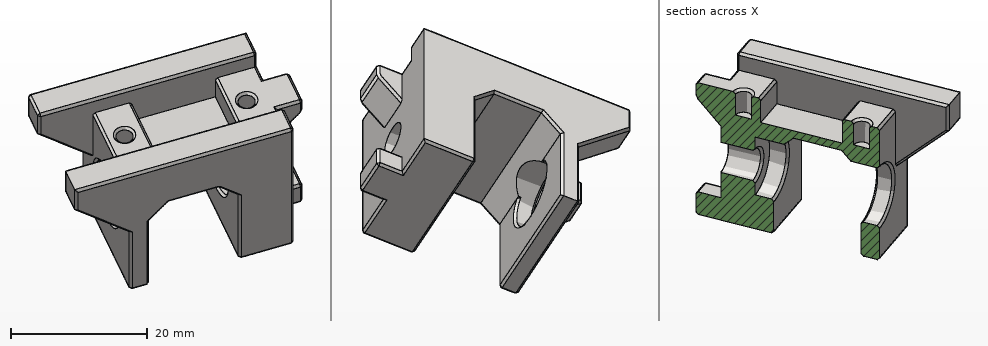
import cadquery as cq

WIDTH = 20.0
HEIGHT = 26.0
BODY_LENGTH = 34.1
EDGE = 0.4
TOLERANCE = 3.81e-05

BACK_LEG = 8.58
OPENING = 14.03
FRONT_LEG = 3.0
OPENING_HEIGHT = 17.45
OPENING_CORNER = 3.13
RAIL_END_HEIGHT = 4.5

RAIL_WIDTH = 4.5
DECK_HEIGHT = 23.02
POCKET_FLOOR = 18.85
BACK_BLOCK = 6.48
FRONT_BLOCK = 6.05

TAB_WIDTH = 6.0
TAB_LENGTH = 4.0
LOWER_TAB_HEIGHT = 4.0
UPPER_TAB_END_HEIGHT = 2.63

BORE_HEIGHT = 10.98
BORE_DIAMETER = 10.0
COUNTERBORE_DEPTH = 3.0
THROUGH_DIAMETER = 5.2

DECK_HOLE_DIAMETER = 2.5
DECK_HOLE_DEPTH = 4.0
DECK_HOLE_INSET = 3.65
DECK_HOLE_SPACING = 19.05

opening_back = -BACK_LEG
opening_front = opening_back - OPENING
corner_bottom = OPENING_HEIGHT - OPENING_CORNER
leg_front = opening_front - FRONT_LEG
rail_front = -BODY_LENGTH
rail_end_bottom = HEIGHT - RAIL_END_HEIGHT
slope_bottom = rail_end_bottom - (leg_front - rail_front)
channel_width = WIDTH - 2 * RAIL_WIDTH
side = WIDTH / 2
channel_side = channel_width / 2
upper_tab_end_bottom = DECK_HEIGHT - UPPER_TAB_END_HEIGHT
upper_tab_bottom = upper_tab_end_bottom - TAB_LENGTH
bore_step = opening_back + COUNTERBORE_DEPTH
pocket_front = leg_front + FRONT_BLOCK


def extrude_outline(points, width):
    """Extrude a (Y, Z) outline across the part, centred on X = 0."""
    return cq.Workplane("YZ").polyline(points).close().extrude(width / 2, both=True)


def block(width, front, back, bottom, top):
    """Box centred on X = 0 between two Y places and two Z places."""
    return extrude_outline([(front, bottom), (back, bottom), (back, top), (front, top)], width)


def chamfer_where(part, wanted):
    """Chamfer the edges for which wanted(start, end) holds."""
    edges = []
    for edge in part.edges("%LINE").vals():
        if wanted(edge.startPoint(), edge.endPoint()):
            edges.append(edge)
    return part.newObject(edges).chamfer(EDGE)


def near(a, b):
    """Whether two coordinates agree."""
    return abs(a - b) < TOLERANCE


def bore(diameter, front, back):
    """Cylinder along the bore axis between two Y places."""
    plane = cq.Workplane("XZ", origin=(0, back, BORE_HEIGHT))
    return plane.circle(diameter / 2).extrude(back - front)


def bore_mouth(diameter, front):
    """Cone that chamfers a bore whose mouth opens toward -Y at the given place."""
    plane = cq.Workplane("XZ", origin=(0, front, BORE_HEIGHT))
    return plane.circle(diameter / 2 + EDGE).extrude(-EDGE, taper=45)


body = extrude_outline(
    [
        (0, 0),
        (0, HEIGHT),
        (rail_front, HEIGHT),
        (rail_front, rail_end_bottom),
        (leg_front, slope_bottom),
        (leg_front, 0),
        (opening_front, 0),
        (opening_front, corner_bottom),
        (opening_front + OPENING_CORNER, OPENING_HEIGHT),
        (opening_back - OPENING_CORNER, OPENING_HEIGHT),
        (opening_back, corner_bottom),
        (opening_back, 0),
    ],
    WIDTH,
)
body = body.cut(block(channel_width, rail_front, 0, DECK_HEIGHT, HEIGHT))
body = body.cut(block(channel_width, rail_front, leg_front, 0, HEIGHT))
body = body.cut(block(channel_width, pocket_front, -BACK_BLOCK, POCKET_FLOOR, HEIGHT))

body = body.union(block(TAB_WIDTH, 0, TAB_LENGTH, 0, LOWER_TAB_HEIGHT))
body = body.union(
    extrude_outline(
        [
            (0, DECK_HEIGHT),
            (TAB_LENGTH, DECK_HEIGHT),
            (TAB_LENGTH, upper_tab_end_bottom),
            (0, upper_tab_bottom),
        ],
        TAB_WIDTH,
    )
)


def on_outer_side(a, b):
    """Edges of the outer faces; the left face (-X) keeps its back edge and its front leg bottom edge sharp."""
    if not (near(abs(a.x), side) and near(a.x, b.x)):
        return False
    back_edge = near(a.y, 0) and near(b.y, 0)
    front_leg_bottom = near(a.z, 0) and near(b.z, 0) and a.y < opening_back - EDGE
    return not (a.x < 0 and (back_edge or front_leg_bottom))


def on_rail_inside(a, b):
    """Top, front, slope and back edges of the inner rail faces."""
    if not (near(abs(a.x), channel_side) and near(a.x, b.x)):
        return False
    if near(a.z, HEIGHT) and near(b.z, HEIGHT):
        return True
    if near(a.y, b.y):
        return near(a.y, rail_front) or near(a.y, 0)
    return a.y < leg_front + EDGE and b.y < leg_front + EDGE


def on_crosswise_edge(a, b):
    """Edges along X: the underside, the deck, and the rail ends except the front one at +X."""
    if near(a.x, b.x):
        return False
    if near(a.z, HEIGHT):
        return near(a.y, 0) or max(a.x, b.x) < 0
    if near(a.z, DECK_HEIGHT):
        return True
    return near(a.z, 0)


def on_tab(a, b):
    """Every edge of the tabs that stands clear of the back face."""
    return a.y > EDGE or b.y > EDGE


def is_chamfered(a, b):
    """Whether the edge between two points belongs to any chamfered group."""
    return on_outer_side(a, b) or on_rail_inside(a, b) or on_crosswise_edge(a, b) or on_tab(a, b)


body = chamfer_where(body, is_chamfered)

body = body.cut(bore(BORE_DIAMETER, leg_front, bore_step))
body = body.cut(bore(THROUGH_DIAMETER, bore_step, TAB_LENGTH))
body = body.cut(bore_mouth(BORE_DIAMETER, leg_front))
body = body.cut(bore_mouth(THROUGH_DIAMETER, bore_step))

upright_faces = block(WIDTH, leg_front, 0, 0, corner_bottom)
back_mouth = bore_mouth(BORE_DIAMETER, opening_back).intersect(upright_faces)
front_mouth = back_mouth.mirror("XZ", (0, (opening_back + opening_front) / 2, 0))
body = body.cut(back_mouth).cut(front_mouth)

for y in (-DECK_HOLE_INSET, -DECK_HOLE_INSET - DECK_HOLE_SPACING):
    mouth = cq.Workplane("XY", origin=(0, y, DECK_HEIGHT))
    body = body.cut(mouth.circle(DECK_HOLE_DIAMETER / 2).extrude(-DECK_HOLE_DEPTH))
    body = body.cut(mouth.circle(DECK_HOLE_DIAMETER / 2 + EDGE).extrude(-EDGE, taper=45))

result = body